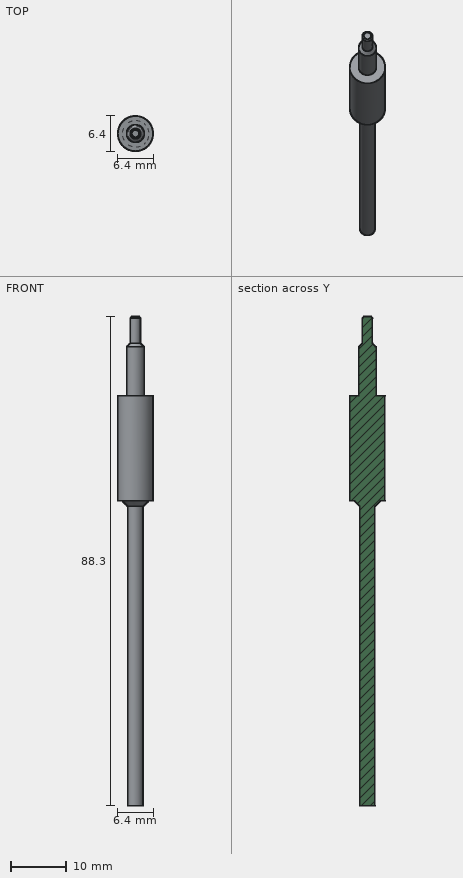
import cadquery as cq

rod_diameter = 2.8
collar_diameter = 4.8
body_diameter = 6.4
shank_diameter = 3.2
tip_diameter = 1.9

total_height = 88.3
tip_length = 5.5
shank_length = 8.8
body_length = 19.0

tip_chamfer = 0.3

shank_top = total_height - tip_length
body_top = shank_top - shank_length
body_bottom = body_top - body_length

rod_radius = rod_diameter / 2
collar_radius = collar_diameter / 2
body_radius = body_diameter / 2
shank_radius = shank_diameter / 2
tip_radius = tip_diameter / 2
collar_height = collar_radius - rod_radius
shoulder_height = shank_radius - tip_radius


def half_profile():
    """Closed half section of the pin: sketch x is the radius, sketch y is the height."""
    return (
        cq.Workplane("XZ")
        .lineTo(rod_radius, 0)
        .lineTo(rod_radius, body_bottom - collar_height)
        .lineTo(collar_radius, body_bottom)
        .lineTo(body_radius, body_bottom)
        .lineTo(body_radius, body_top)
        .lineTo(shank_radius, body_top)
        .lineTo(shank_radius, shank_top)
        .lineTo(tip_radius, shank_top + shoulder_height)
        .lineTo(tip_radius, total_height - tip_chamfer)
        .lineTo(tip_radius - tip_chamfer, total_height)
        .lineTo(0, total_height)
        .close()
    )


result = half_profile().revolve(360, (0, 0, 0), (0, 1, 0))